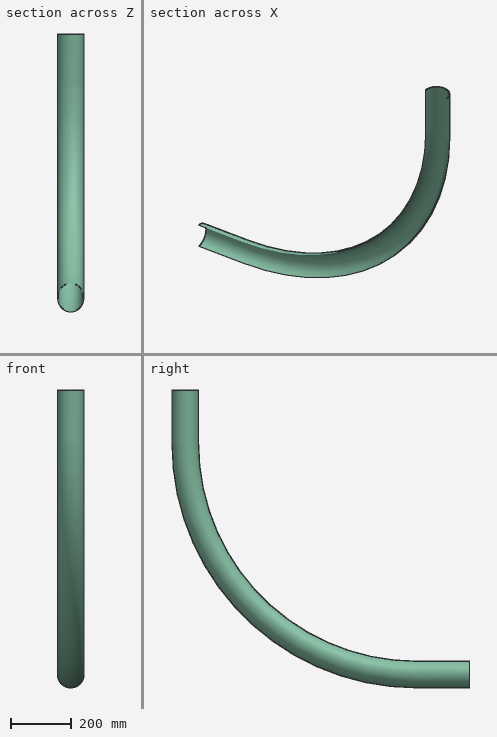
import cadquery as cq
import math

overall_length = 984.0
outer_diameter = 89.0
inner_diameter = 83.0
straight_length = 176.0

outer_radius = outer_diameter / 2
bend_radius = overall_length - outer_radius - straight_length
leg_reach = bend_radius + straight_length
arc_middle = bend_radius * (1 - math.sqrt(0.5))

centreline = (
    cq.Workplane("YZ")
    .moveTo(0, leg_reach)
    .lineTo(0, bend_radius)
    .threePointArc((arc_middle, arc_middle), (bend_radius, 0))
    .lineTo(leg_reach, 0)
)

result = (
    cq.Workplane("XY", origin=(0, 0, leg_reach))
    .circle(outer_radius)
    .circle(inner_diameter / 2)
    .sweep(centreline)
)